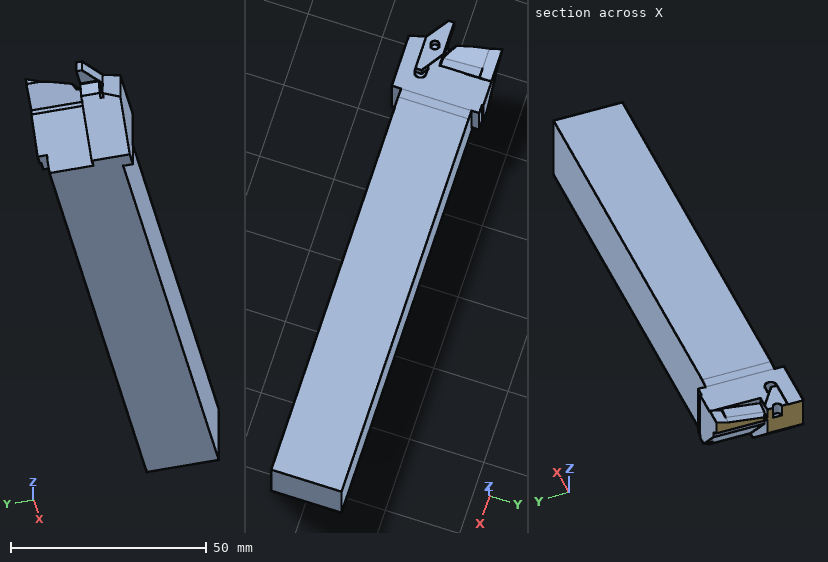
import cadquery as cq

total_length = 128.3
shank_size = 19.0
shank_y = 2.6
shank_far_y = shank_y + shank_size

head_width = 24.0
head_rear_x = 21.0
head_top = 18.6
ramp_end_x = 23.5
flank_step = 0.4
flank_step_x = 18.7
overhang_bottom = 3.6

underside_start_x = 17.5
nose_x = 5.6
nose_z = 11.9

insert_far_y = 10.0
insert_near_y = 4.4
insert_thickness = 3.2
insert_bottom = head_top - insert_thickness
insert_proud = 0.1
insert_tip_width = 1.5
insert_heel_width = 1.7
insert_shoulder_x = 9
insert_rear_x = 14.8
insert_hole_radius = 1.2
insert_hole_center = (7.3, 7.2)
seat_front_x = 6.5
seat_lip_x = 4.5
seat_near_y = 5.1
near_corner_x = 5.8
near_corner_setback = 1.2
relief_slot_start_x = 12.2
relief_slot_end_x = 16.8
relief_slot_width = 3.1

wing_tip_x = 3.1
wing_root_x = 4.7
wing_root_y = 12.6
wing_ridge_y = 20.7
wing_ridge_z = 17.8
pocket_low_z = 16.2
pocket_floor_end_x = 9.2
pocket_rear_x = 12.0
pocket_ramp_rise = 0.6
relief_tip_z = 18
relief_wall_x = 9.2
relief_wall_top_z = 13.6
relief_wall_bottom_z = 12.0
relief_end_x = 19.2
wing_corner_y = 11.3
wing_corner_z = 15.9
clearance = 1.3


def box(x0, x1, y0, y1, z0, z1):
    """Axis-aligned box between two opposite corners."""
    return cq.Workplane("XY").box(x1 - x0, y1 - y0, z1 - z0, centered=False).translate((x0, y0, z0))


def plan_prism(points, bottom, top):
    """Vertical prism standing on a plan outline."""
    return cq.Workplane("XY").workplane(offset=bottom).polyline(points).close().extrude(top - bottom)


def make_shank():
    bar = box(head_rear_x, total_length, shank_y, shank_far_y, 0, shank_size)
    ramp_cut = (
        cq.Workplane("XZ", origin=(0, shank_y, 0))
        .polyline([(head_rear_x, head_top), (ramp_end_x, shank_size), (head_rear_x, shank_size)])
        .close()
        .extrude(-shank_size)
    )
    return bar.cut(ramp_cut)


def make_head():
    plan = [
        (near_corner_x + near_corner_setback, 0),
        (near_corner_x, insert_near_y),
        (seat_front_x, insert_near_y),
        (seat_front_x, seat_near_y),
        (seat_lip_x, seat_near_y),
        (seat_lip_x, insert_far_y),
        (seat_front_x, insert_far_y),
        (seat_front_x, wing_corner_y),
        (wing_root_x, wing_root_y),
        (wing_tip_x, head_width),
        (flank_step_x, head_width),
        (flank_step_x, head_width - flank_step),
        (head_rear_x, head_width - flank_step),
        (head_rear_x, 0),
    ]
    side = [
        (underside_start_x, 0),
        (nose_x, nose_z),
        (wing_tip_x, shank_size),
        (head_rear_x, shank_size),
        (head_rear_x, 0),
    ]
    side_prism = cq.Workplane("XZ").polyline(side).close().extrude(-head_width)
    head = plan_prism(plan, 0, shank_size).intersect(side_prism)
    head = head.cut(box(0, head_rear_x, shank_far_y, head_width, 0, overhang_bottom))
    head = head.cut(box(pocket_rear_x, head_rear_x, 0, head_width, head_top, shank_size))
    head = head.cut(box(0, pocket_rear_x, 0, insert_far_y, head_top, shank_size))
    return head.cut(box(0, seat_front_x, seat_near_y, insert_far_y, insert_bottom, shank_size))


def pocket_section(x, rise):
    """Pocket area above its sloping floor, in the plane at x."""
    points = [
        (insert_far_y, pocket_low_z + rise),
        (wing_ridge_y, wing_ridge_z + rise),
        (wing_ridge_y, shank_size + clearance),
        (insert_far_y, shank_size + clearance),
    ]
    return cq.Workplane("YZ", origin=(x, 0, 0)).polyline(points).close()


def make_pocket():
    floor = pocket_section(0, 0).extrude(pocket_floor_end_x)
    ramp_start = pocket_section(pocket_floor_end_x, 0).wire().val()
    ramp_end = pocket_section(pocket_rear_x, pocket_ramp_rise).wire().val()
    ramp = cq.Workplane(cq.Solid.makeLoft([ramp_start, ramp_end], True))
    rim = (
        cq.Workplane("YZ")
        .polyline([(wing_ridge_y, wing_ridge_z), (head_width, shank_size), (wing_ridge_y, shank_size)])
        .close()
        .extrude(pocket_rear_x)
    )
    return floor.union(ramp).union(rim)


def make_wing_relief():
    """Undercut below the wing, on the far side of the insert seat."""
    section = [
        (wing_tip_x, relief_tip_z),
        (relief_wall_x, relief_wall_top_z),
        (relief_wall_x, relief_wall_bottom_z),
        (relief_end_x, 0),
        (0, 0),
        (0, relief_tip_z),
    ]
    return (
        cq.Workplane("XZ", origin=(0, insert_far_y, 0))
        .polyline(section)
        .close()
        .extrude(insert_far_y - head_width)
    )


def make_wing_corner_cut():
    """Removes the wing corner in line with the insert's slanted side."""
    corner = [
        (seat_front_x, wing_corner_y),
        (insert_shoulder_x, insert_far_y),
        (seat_front_x, insert_far_y),
    ]
    return plan_prism(corner, wing_corner_z, shank_size)


def make_insert():
    outline = [
        (0, insert_far_y),
        (0, insert_far_y - insert_tip_width),
        (near_corner_x, insert_near_y),
        (insert_rear_x, insert_near_y),
        (insert_rear_x, insert_near_y + insert_heel_width),
        (insert_shoulder_x, insert_far_y),
    ]
    return plan_prism(outline, insert_bottom, head_top + insert_proud)


def make_relief_slot():
    radius = relief_slot_width / 2
    length = relief_slot_end_x - relief_slot_start_x
    center = (relief_slot_start_x + length / 2, insert_near_y + radius)
    return (
        cq.Workplane("XY", origin=(0, 0, insert_bottom))
        .center(*center)
        .slot2D(length, relief_slot_width)
        .extrude(insert_thickness)
    )


insert_hole = (
    cq.Workplane("XY", origin=(0, 0, insert_bottom))
    .center(*insert_hole_center)
    .circle(insert_hole_radius)
    .extrude(insert_thickness + insert_proud)
)

head = make_head().cut(make_pocket()).cut(make_relief_slot())
head = head.cut(make_wing_relief()).cut(make_wing_corner_cut())
result = make_shank().union(head).union(make_insert()).cut(insert_hole)